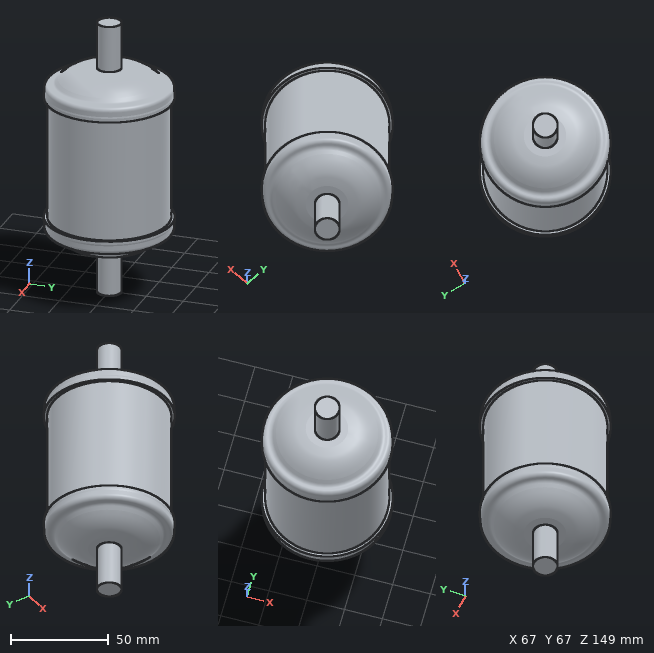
import cadquery as cq
import math

total_length = 149.0
pipe_length = 25.0
pipe_radius = 6.35
body_radius = 31.75

cap_height = 16.5
flange_radius = 33.5
band_radius = 33.3
flange_height = 1.9
taper_height = 0.85
rim_height = 7.75
rim_fillet = 2.5

crown_flat_radius = 10.85
crown_arc_radius = 21.6
root_arc_radius = 3.0
dome_angle = math.radians(45)

pipe_end_z = total_length / 2
crown_z = pipe_end_z - pipe_length
cap_base_z = crown_z - cap_height
taper_base_z = cap_base_z + flange_height
rim_top_z = cap_base_z + rim_height


def arc_point(center, radius, angle):
    """Point on a circle in the XZ plane, the angle measured from +X."""
    return (center[0] + radius * math.cos(angle), center[1] + radius * math.sin(angle))


def make_cap():
    """Upper end cap: a slightly stepped rim under a domed crown, as a solid of revolution."""
    vertical = math.pi / 2
    crown_center = (crown_flat_radius, crown_z - crown_arc_radius)
    crown_mid = arc_point(crown_center, crown_arc_radius, vertical - dome_angle / 2)
    crown_end = arc_point(crown_center, crown_arc_radius, vertical - dome_angle)

    root_center_z = rim_top_z + root_arc_radius
    root_start_z = root_center_z - root_arc_radius * math.cos(dome_angle)
    flank_run = (crown_end[1] - root_start_z) / math.tan(dome_angle)
    root_start = (crown_end[0] + flank_run, root_start_z)
    root_center = (root_start[0] + root_arc_radius * math.sin(dome_angle), root_center_z)
    root_mid = arc_point(root_center, root_arc_radius, -vertical - dome_angle / 2)
    root_end = (root_center[0], rim_top_z)

    fillet_center = (band_radius - rim_fillet, rim_top_z - rim_fillet)
    fillet_mid = arc_point(fillet_center, rim_fillet, vertical / 2)

    profile = (
        cq.Workplane("XZ")
        .moveTo(0, cap_base_z)
        .lineTo(0, crown_z)
        .lineTo(crown_flat_radius, crown_z)
        .threePointArc(crown_mid, crown_end)
        .lineTo(*root_start)
        .threePointArc(root_mid, root_end)
        .lineTo(fillet_center[0], rim_top_z)
        .threePointArc(fillet_mid, (band_radius, fillet_center[1]))
        .lineTo(band_radius, taper_base_z + taper_height)
        .lineTo(flange_radius, taper_base_z)
        .lineTo(flange_radius, cap_base_z)
        .close()
    )
    return profile.revolve(360, (0, 0, 0), (0, 1, 0))


def make_cylinder(radius, length):
    """Cylinder on the Z axis, centred on the origin."""
    return cq.Workplane("XY").circle(radius).extrude(length / 2, both=True)


upper_cap = make_cap()
lower_cap = upper_cap.mirror("XY")
body = make_cylinder(body_radius, 2 * cap_base_z)
pipe = make_cylinder(pipe_radius, total_length)

result = body.union(upper_cap).union(lower_cap).union(pipe)